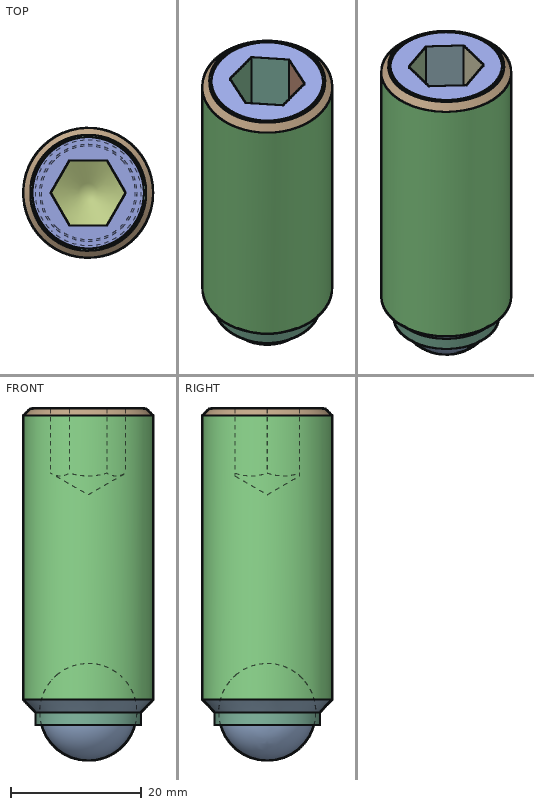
import cadquery as cq
import math

total_length = 54.2
body_radius = 20.0 / 2

ball_radius = 7.5

collar_radius = 8.15
collar_bottom = 5.5
collar_top = 7.4
body_bottom = 9.4

top_chamfer = 1.1
boss_radius = 8.55
boss_height = 0.1
shoulder_height = total_length - boss_height

hex_across_flats = 9.95
hex_depth = 10.0
hex_corner_radius = hex_across_flats / math.sqrt(3)
floor_half_angle = math.radians(60)
floor_cone_depth = hex_corner_radius / math.tan(floor_half_angle)


def make_ball():
    """Full sphere held in the lower end of the screw."""
    return cq.Workplane("XY").sphere(ball_radius).translate((0, 0, ball_radius))


def make_hex_socket():
    """Hexagonal prism that ends in a drill-point cone below its flat depth."""
    floor_level = total_length - hex_depth
    cone_tip = floor_level - floor_cone_depth
    prism = (
        cq.Workplane("XY", origin=(0, 0, cone_tip))
        .polygon(6, 2 * hex_corner_radius)
        .extrude(total_length - cone_tip)
    )
    pointed_bore = (
        cq.Workplane("XZ")
        .moveTo(0, cone_tip)
        .lineTo(hex_corner_radius, floor_level)
        .lineTo(hex_corner_radius, total_length)
        .lineTo(0, total_length)
        .close()
        .revolve(360, (0, 0, 0), (0, 1, 0))
    )
    return prism.intersect(pointed_bore)


def make_screw(ball):
    """Turned screw body with a hexagon socket above and a ball seat below."""
    blank = (
        cq.Workplane("XZ")
        .moveTo(0, collar_bottom)
        .lineTo(collar_radius, collar_bottom)
        .lineTo(collar_radius, collar_top)
        .lineTo(body_radius, body_bottom)
        .lineTo(body_radius, shoulder_height - top_chamfer)
        .lineTo(body_radius - top_chamfer, shoulder_height)
        .lineTo(boss_radius, shoulder_height)
        .lineTo(boss_radius, total_length)
        .lineTo(0, total_length)
        .close()
        .revolve(360, (0, 0, 0), (0, 1, 0))
    )
    return blank.cut(make_hex_socket()).cut(ball)


ball = make_ball()
screw = make_screw(ball)

result = cq.Compound.makeCompound([*screw.solids().vals(), ball.val()])